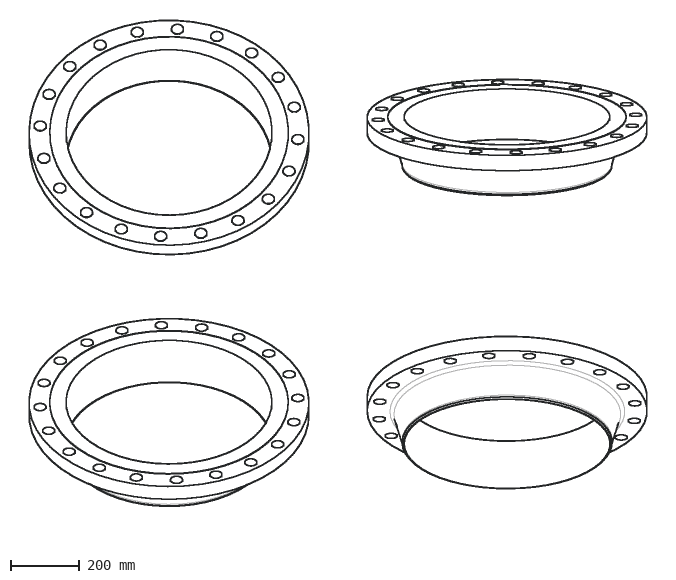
import cadquery as cq

flange_diameter = 813.0
raised_face_diameter = 692.5
raised_face_height = 2.0
total_height = 153.0
flange_thickness = 46.0

hub_diameter = 663.0
neck_diameter = 610.0
neck_height = 11.0
hub_fillet_radius = 12.0
bore_diameter = 597.5

bevel_width = 4.0
bevel_height = 5.0

bolt_circle_diameter = 749.0
bolt_hole_diameter = 35.0
bolt_count = 20

flange_top = total_height - raised_face_height
flange_bottom = flange_top - flange_thickness


def hub():
    """Neck and cone, with the weld bevel at the bottom edge."""
    neck_radius = neck_diameter / 2
    return (
        cq.Workplane("XZ")
        .moveTo(0, 0)
        .lineTo(neck_radius - bevel_width, 0)
        .lineTo(neck_radius, bevel_height)
        .lineTo(neck_radius, neck_height)
        .lineTo(hub_diameter / 2, flange_bottom)
        .lineTo(0, flange_bottom)
        .close()
        .revolve(360, (0, 0, 0), (0, 1, 0))
    )


def disc(diameter, bottom, height):
    return cq.Workplane("XY").workplane(offset=bottom).circle(diameter / 2).extrude(height)


def bolt_holes():
    """Through holes, the first one lying on the +X axis."""
    return (
        cq.Workplane("XY")
        .polarArray(bolt_circle_diameter / 2, 0, 360, bolt_count)
        .circle(bolt_hole_diameter / 2)
        .extrude(total_height)
    )


body = hub().union(disc(flange_diameter, flange_bottom, flange_thickness))

body = (
    body.faces("|Z").faces("<Z[1]")
    .edges(cq.selectors.RadiusNthSelector(0))
    .fillet(hub_fillet_radius)
)

body = body.union(disc(raised_face_diameter, flange_top, raised_face_height))
result = body.cut(disc(bore_diameter, 0, total_height)).cut(bolt_holes())